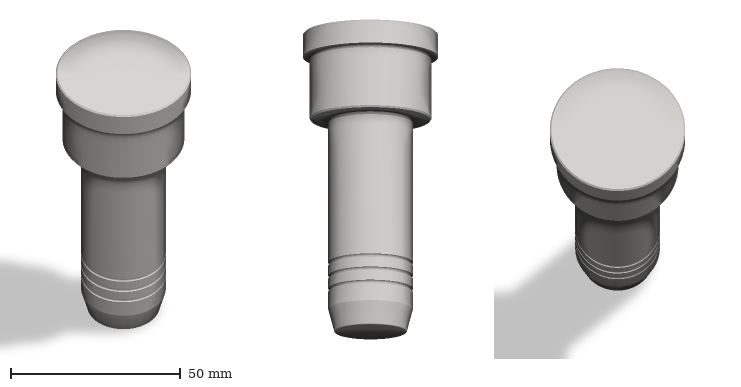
import cadquery as cq
import math

total_length = 90.0
head_height = 7.0
body_height = 19.0
body_bottom = total_length - head_height - body_height

head_radius = 20.0
body_radius = 18.0
shaft_radius = 12.5

head_chamfer = 0.45
body_chamfer_height = 0.5
body_chamfer_width = 0.4
tip_fillet = 0.4

taper_height = 6.8
taper_angle = 15.0
tip_radius = shaft_radius - taper_height * math.tan(math.radians(taper_angle))

relief_width = 1.0
shaft_relief_depth = 0.5
round_groove_radius = relief_width / 2
oil_groove_pitch = 4.0
first_oil_groove = 12.5
oil_groove_count = 3


def disc(radius, bottom, height):
    """Solid cylinder about the Z axis."""
    return cq.Workplane("XY").workplane(offset=bottom).circle(radius).extrude(height)


def square_groove(radius, depth, bottom, width):
    """Square-section ring to cut from a cylinder of the given radius."""
    outer = disc(radius + depth, bottom, width)
    return outer.cut(disc(radius - depth, bottom, width))


def round_groove(radius, middle):
    """Ring that cuts a half-round groove, centred at the given height."""
    return cq.Workplane(cq.Solid.makeTorus(radius, round_groove_radius, cq.Vector(0, 0, middle)))


def make_head():
    head = disc(head_radius, total_length - head_height, head_height)
    return head.faces(">Z").edges().chamfer(head_chamfer)


def make_body():
    body = disc(body_radius, body_bottom, body_height)
    body = body.faces("<Z").chamfer(body_chamfer_height, body_chamfer_width)
    groove_middle = body_bottom + body_height - round_groove_radius
    return body.cut(round_groove(body_radius, groove_middle))


def make_shaft():
    outline = (
        cq.Workplane("XZ")
        .polyline([
            (0, 0),
            (tip_radius, 0),
            (shaft_radius, taper_height),
            (shaft_radius, body_bottom),
            (0, body_bottom),
        ])
        .close()
    )
    shaft = outline.revolve(360, (0, 0, 0), (0, 1, 0))
    shaft = shaft.faces("<Z").edges().fillet(tip_fillet)
    relief_bottom = body_bottom - relief_width
    shaft = shaft.cut(square_groove(shaft_radius, shaft_relief_depth, relief_bottom, relief_width))
    for index in range(oil_groove_count):
        middle = first_oil_groove + index * oil_groove_pitch
        shaft = shaft.cut(round_groove(shaft_radius, middle))
    return shaft


result = make_head().union(make_body()).union(make_shaft())